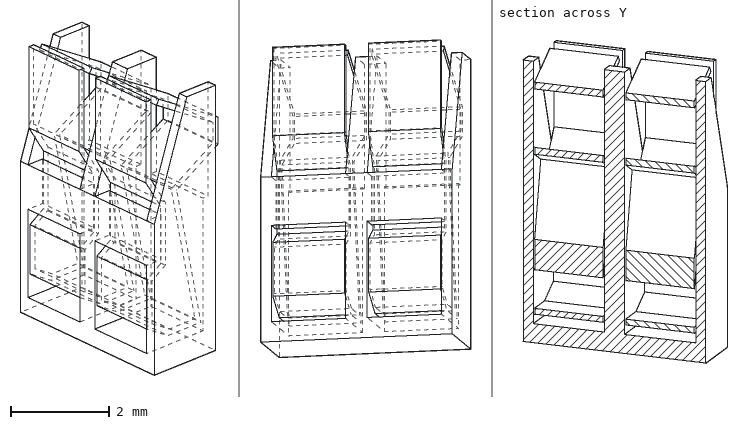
import cadquery as cq
import math


housing_width = 4.0
housing_depth = 1.7
housing_height = 6.0
top_depth = 0.8
front_height = 3.415

cell_count = 2
cell_pitch = housing_width / cell_count
cell_width = 1.55
cell_floor = 0.415
front_wall = 0.4
rear_wall = 0.145
window_top = 2.41

spring_width = 1.5
strip_thickness = 0.135
spring_top = 6.1
plate_bottom = 4.265
kink_bottom = 3.61
bulge_front = 0.03
bulge_upper_root = 2.3
bulge_upper = 2.06
bulge_lower = 0.945
spring_bottom = 0.61
riser_back = 1.525
riser_top = 0.855
spring_back = 2.0
back_lower = 4.485
back_upper = 5.095
tip_front = 0.36
bend_angle = math.radians(30)


def cell_center(index):
    return cell_pitch * (index + 0.5)


def cell_box(center, y_start, y_end, z_start, z_end):
    """Box as wide as a cell, between the given depths and heights."""
    size = (cell_width, y_end - y_start, z_end - z_start)
    corner = (center - cell_width / 2, y_start, z_start)
    return cq.Workplane("XY").box(*size, centered=False).translate(corner)


def make_housing():
    side_outline = [
        (0, 0),
        (housing_depth, 0),
        (housing_depth, housing_height),
        (housing_depth - top_depth, housing_height),
        (0, front_height),
    ]
    body = cq.Workplane("YZ").polyline(side_outline).close().extrude(housing_width)
    for index in range(cell_count):
        center = cell_center(index)
        cavity = cell_box(center, front_wall, housing_depth - rear_wall, cell_floor, front_height)
        upper_slot = cell_box(center, 0, housing_depth, front_height, housing_height)
        window = cell_box(center, 0, front_wall, cell_floor, window_top)
        body = body.cut(cavity).cut(upper_slot).cut(window)
    return body


def left_normal(start, end):
    """Unit vector pointing left of the segment from start to end."""
    length = math.dist(start, end)
    return (start[1] - end[1]) / length, (end[0] - start[0]) / length


def offset_left(path, distance):
    """Path moved to its left by the distance, with sharp mitred corners."""
    normals = [left_normal(start, end) for start, end in zip(path, path[1:])]
    before = [normals[0]] + normals
    after = normals + [normals[-1]]
    moved = []
    for point, first, second in zip(path, before, after):
        reach = distance / (1 + first[0] * second[0] + first[1] * second[1])
        y = point[0] + reach * (first[0] + second[0])
        z = point[1] + reach * (first[1] + second[1])
        moved.append((y, z))
    return moved


def make_spring(center):
    slope = math.tan(bend_angle)
    bulge_foot = bulge_front + (bulge_lower - spring_bottom) / slope
    riser_height = back_lower - (spring_back - riser_top) * slope
    tip_height = back_upper + (spring_back - tip_front) * slope
    outer_path = [
        (0, spring_top),
        (0, plate_bottom),
        (front_wall, kink_bottom),
        (front_wall, bulge_upper_root),
        (bulge_front, bulge_upper),
        (bulge_front, bulge_lower),
        (bulge_foot, spring_bottom),
        (riser_back, spring_bottom),
        (riser_top, riser_height),
        (spring_back, back_lower),
        (spring_back, back_upper),
        (tip_front, tip_height),
    ]
    inner_path = offset_left(outer_path, strip_thickness)
    strip = cq.Workplane("YZ").polyline(outer_path + inner_path[::-1]).close().extrude(spring_width)
    return strip.translate((center - spring_width / 2, 0, 0))


housing = make_housing()
springs = [make_spring(cell_center(index)) for index in range(cell_count)]
result = cq.Compound.makeCompound([housing.val(), *[spring.val() for spring in springs]])